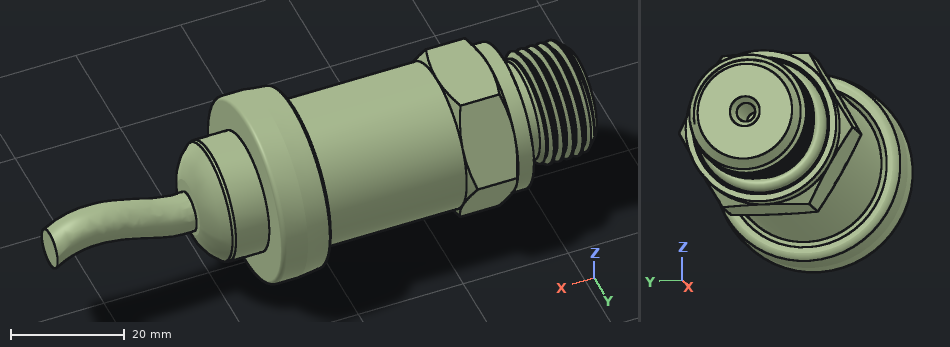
import cadquery as cq
import math

X_DIRECTION = cq.Vector(1, 0, 0)

THREAD_END = 11.1
NECK_TAPER_START = 12.8
COLLAR_START = 14.1
HEX_START = 17.0
HEX_END = 27.0
BARREL_END = 53.6
CAP_START = 53.8
CAP_CONE_END = 58.7
FLANGE_END = 63.6
DOME_START = 70.5
CAP_END = 74.2
OVERALL_LENGTH = 100.7

PORT_FACE_DIAMETER = 16.9
NECK_DIAMETER = 18.0
NECK_SMALL_DIAMETER = 17.6
BARREL_DIAMETER = 27.0
SPIGOT_DIAMETER = 25.1
HEX_CHAMFER_DIAMETER = 26.8
HEX_ACROSS_FLATS = 27.0
HEX_CHAMFER_ANGLE = 30.0
HEX_SIDES = 6
PORT_DIAMETER = 3.3
PORT_DEPTH = 10.1
COUNTERSINK_DIAMETER = 5.3

THREAD_DIAMETER = 21.0
THREAD_ROOT_DIAMETER = 18.6
THREAD_PITCH = 1.8
THREAD_TURNS = 7
THREAD_HELIX_START = -0.6
THREAD_FLANK_ANGLE = 27.5
CREST_WIDTH = 0.3
RIDGE_EMBEDDING = 0.2

SEAL_OUTER_DIAMETER = 23.7
SEAL_CORD_DIAMETER = 2.5
SEAL_PROTRUSION = 0.8
GROOVE_OUTER_DIAMETER = 24.5
GROOVE_FLOOR = COLLAR_START - SEAL_PROTRUSION + SEAL_CORD_DIAMETER

FLANGE_DIAMETER = 34.5
CAP_FRONT_DIAMETER = 33.4
FLANGE_EDGE_RADIUS = 0.8
CAP_FACE_DIAMETER = 31.0
FRONT_EDGE_LENGTH = 0.6
FRONT_EDGE_MIDDLE = (54.0, 16.2)
CAP_MOUTH_DIAMETER = 28.8
CAP_BORE_END = 60.4
SPOUT_DIAMETER = 22.3
SPOUT_EDGE_LENGTH = 0.6
SPOUT_EDGE_DROP = 0.2
DOME_END_DIAMETER = 10.3
DOME_BULGE = 0.5

CABLE_DIAMETER = 7.3
CABLE_ROOT_DEPTH = 1.0
CABLE_ROOT = (CAP_END - CABLE_ROOT_DEPTH, -0.7)
CABLE_DIP = (76.5, -1.0)
CABLE_MIDDLE = (83.6, 0.8)
CABLE_CREST = (91.5, 2.5)
CABLE_END = (OVERALL_LENGTH, -0.2)


def cylinder(start, end, diameter):
    """Solid cylinder on the X axis between two stations."""
    return cq.Workplane("YZ", origin=(start, 0, 0)).circle(diameter / 2).extrude(end - start)


def revolve_about_x(profile):
    """Full revolution of a closed XY profile about the X axis."""
    return profile.revolve(360, (0, 0, 0), (1, 0, 0))


def make_thread():
    """Right-hand helical ridge on a root cylinder, chamfered at both ends."""
    root_radius = THREAD_ROOT_DIAMETER / 2
    ridge_height = (THREAD_DIAMETER - THREAD_ROOT_DIAMETER) / 2
    flank_slope = math.tan(math.radians(THREAD_FLANK_ANGLE))
    crest_half_width = CREST_WIDTH / 2
    base_half_width = crest_half_width + (ridge_height + RIDGE_EMBEDDING) * flank_slope
    base_radius = root_radius - RIDGE_EMBEDDING
    crest_radius = THREAD_DIAMETER / 2

    helix = cq.Wire.makeHelix(THREAD_PITCH, THREAD_PITCH * THREAD_TURNS, root_radius)
    ridge = (
        cq.Workplane("XZ")
        .moveTo(base_radius, -base_half_width)
        .lineTo(crest_radius, -crest_half_width)
        .lineTo(crest_radius, crest_half_width)
        .lineTo(base_radius, base_half_width)
        .close()
        .sweep(cq.Workplane(helix), isFrenet=True)
        .rotate((0, 0, 0), (0, 1, 0), 90)
        .translate((THREAD_HELIX_START, 0, 0))
    )

    envelope_radius = crest_radius + RIDGE_EMBEDDING
    front_radius = PORT_FACE_DIAMETER / 2
    neck_radius = NECK_DIAMETER / 2
    envelope = revolve_about_x(
        cq.Workplane("XY")
        .moveTo(0, 0)
        .lineTo(0, front_radius)
        .lineTo(envelope_radius - front_radius, envelope_radius)
        .lineTo(THREAD_END - (envelope_radius - neck_radius), envelope_radius)
        .lineTo(THREAD_END, neck_radius)
        .lineTo(THREAD_END, 0)
        .close()
    )
    return cylinder(0, THREAD_END, THREAD_ROOT_DIAMETER).union(ridge).intersect(envelope)


def make_neck():
    """Plain neck behind the thread, slightly tapered down to the groove floor."""
    return revolve_about_x(
        cq.Workplane("XY")
        .moveTo(THREAD_END, 0)
        .lineTo(THREAD_END, NECK_DIAMETER / 2)
        .lineTo(NECK_TAPER_START, NECK_DIAMETER / 2)
        .lineTo(GROOVE_FLOOR, NECK_SMALL_DIAMETER / 2)
        .lineTo(GROOVE_FLOOR, 0)
        .close()
    )


def make_barrel():
    """Grooved collar and tube as one cylinder, with a thinner spigot that enters the cap."""
    groove = cylinder(COLLAR_START, GROOVE_FLOOR, GROOVE_OUTER_DIAMETER)
    spigot = cylinder(BARREL_END, CAP_BORE_END, SPIGOT_DIAMETER)
    return cylinder(COLLAR_START, BARREL_END, BARREL_DIAMETER).cut(groove).union(spigot)


def make_hexagon():
    """Wrench hexagon with corners on the Y axis and both ends chamfered."""
    across_corners = HEX_ACROSS_FLATS / math.cos(math.pi / HEX_SIDES)
    corner_rise = (across_corners - HEX_CHAMFER_DIAMETER) / 2
    chamfer_length = corner_rise * math.tan(math.radians(HEX_CHAMFER_ANGLE))
    prism = (
        cq.Workplane("YZ", origin=(HEX_START, 0, 0))
        .polygon(HEX_SIDES, across_corners)
        .extrude(HEX_END - HEX_START)
    )
    envelope = revolve_about_x(
        cq.Workplane("XY")
        .moveTo(HEX_START, 0)
        .lineTo(HEX_START, HEX_CHAMFER_DIAMETER / 2)
        .lineTo(HEX_START + chamfer_length, across_corners / 2)
        .lineTo(HEX_END - chamfer_length, across_corners / 2)
        .lineTo(HEX_END, HEX_CHAMFER_DIAMETER / 2)
        .lineTo(HEX_END, 0)
        .close()
    )
    return prism.intersect(envelope)


def make_port():
    """Blind pressure port with a 45 degree countersink."""
    port_radius = PORT_DIAMETER / 2
    sink_radius = COUNTERSINK_DIAMETER / 2
    return revolve_about_x(
        cq.Workplane("XY")
        .moveTo(0, 0)
        .lineTo(0, sink_radius)
        .lineTo(sink_radius - port_radius, port_radius)
        .lineTo(PORT_DEPTH, port_radius)
        .lineTo(PORT_DEPTH, 0)
        .close()
    )


def make_housing():
    solid = make_barrel().union(make_hexagon()).union(make_neck()).union(make_thread())
    return solid.cut(make_port())


def make_seal_ring():
    """O-ring resting on the groove floor and standing out of the collar face."""
    cord_radius = SEAL_CORD_DIAMETER / 2
    ring_radius = SEAL_OUTER_DIAMETER / 2 - cord_radius
    centre = cq.Vector(GROOVE_FLOOR - cord_radius, 0, 0)
    return cq.Workplane(cq.Solid.makeTorus(ring_radius, cord_radius, centre, X_DIRECTION))


def make_cable():
    """Wavy cable whose round section stays square to the X axis."""
    points = [CABLE_ROOT, CABLE_DIP, CABLE_MIDDLE, CABLE_CREST, CABLE_END]
    path = cq.Workplane("XZ").spline(points)
    root_x, root_z = CABLE_ROOT
    section = cq.Workplane("YZ", origin=(root_x, 0, root_z)).circle(CABLE_DIAMETER / 2)
    return section.sweep(path, normal=X_DIRECTION)


def make_cap_shell():
    """Flanged ring, spout and domed end, bored to fit the housing spigot behind a 45 degree mouth."""
    flange_radius = FLANGE_DIAMETER / 2
    spout_radius = SPOUT_DIAMETER / 2
    edge = FLANGE_EDGE_RADIUS
    edge_mid = edge * (1 - math.sqrt(0.5))
    dome_base_radius = spout_radius - SPOUT_EDGE_DROP
    dome_end_radius = DOME_END_DIAMETER / 2
    dome_middle = (
        (DOME_START + CAP_END) / 2 + DOME_BULGE,
        (dome_base_radius + dome_end_radius) / 2 + DOME_BULGE,
    )
    bore_radius = SPIGOT_DIAMETER / 2
    mouth_radius = CAP_MOUTH_DIAMETER / 2
    return revolve_about_x(
        cq.Workplane("XY")
        .moveTo(CAP_START, mouth_radius)
        .lineTo(CAP_START, CAP_FACE_DIAMETER / 2)
        .threePointArc(FRONT_EDGE_MIDDLE, (CAP_START + FRONT_EDGE_LENGTH, CAP_FRONT_DIAMETER / 2))
        .lineTo(CAP_CONE_END, flange_radius)
        .lineTo(FLANGE_END - edge, flange_radius)
        .threePointArc(
            (FLANGE_END - edge_mid, flange_radius - edge_mid), (FLANGE_END, flange_radius - edge)
        )
        .lineTo(FLANGE_END, spout_radius)
        .lineTo(DOME_START - SPOUT_EDGE_LENGTH, spout_radius)
        .lineTo(DOME_START, dome_base_radius)
        .threePointArc(dome_middle, (CAP_END, dome_end_radius))
        .lineTo(CAP_END, 0)
        .lineTo(CAP_BORE_END, 0)
        .lineTo(CAP_BORE_END, bore_radius)
        .lineTo(CAP_START + mouth_radius - bore_radius, bore_radius)
        .close()
    )


def make_cable_cap():
    return make_cap_shell().union(make_cable())


housing = make_housing()
seal_ring = make_seal_ring()
cable_cap = make_cable_cap()

result = cq.Compound.makeCompound([housing.val(), seal_ring.val(), cable_cap.val()])